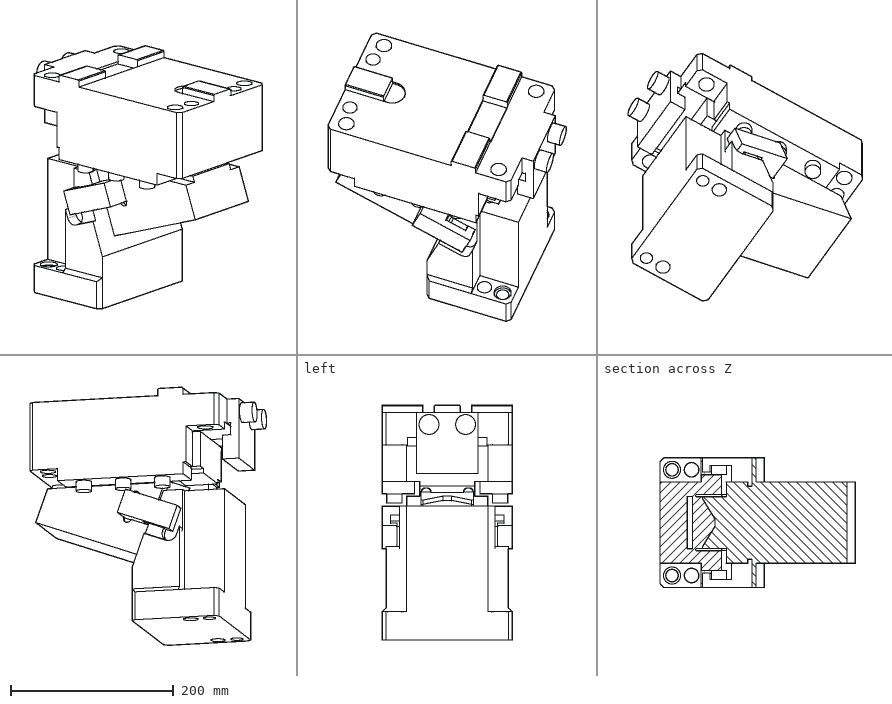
import cadquery as cq
import math


width = 160.0
half_width = width / 2
corner_chamfer = 5.0
key_proud = 9.0
total_height = 289.0
screw_line_y = 65.0
dowel_radius = 8.75

driver_length = 111.0
driver_height = 165.0
foot_height = 35.0
column_length = 50.8
column_half_width = 50.0
cheek_half_width = 75.0
cheek_bevel = half_width - cheek_half_width
slope_angle = 20.0
slope_foot_z = 67.0
bolt_x = 15.0
bolt_radius = 7.5
counterbore_radius = 10.5
counterbore_depth = 4.0
foot_dowel_x = 39.0

slope_sin = math.sin(math.radians(slope_angle))
slope_cos = math.cos(math.radians(slope_angle))

slide_gap = 5.0
guide_half_width = 32.0
guide_seat_depth = 3.0
guide_tip_u = -22.0
guide_bottom_v = 20.0
guide_top_v = 120.0
ridge_top_v = guide_top_v - 5.5
ridge_back_u = -40.0
groove_half_width = 30.0
groove_flat_half_width = 5.0
groove_angle = 30.0
groove_u = guide_tip_u + (groove_half_width - groove_flat_half_width) * math.tan(math.radians(groove_angle))
guide_relief_radius = 6.0
guide_clearance = 2.4
guide_clearance_u = -30.0

hook_start_u = -30.0
hook_end_u = 40.0
hook_bottom_v = 59.0
hook_top_v = 89.5
hook_lip_half_width = 62.0
hook_web_half_width = 70.0
hook_heel_u = slide_gap + guide_seat_depth
hook_seat_depth = 5.0
hook_relief_radius = 5.0

slot_half_width = 59.0
slot_radius = 10.0
slot_start_u = hook_start_u - slot_radius
slot_bottom_v = 45.0
rib_start_u = slot_start_u + 2 * slot_radius
rib_top_v = 84.5

slide_half_width = 50.0
slide_end_u = 145.0
slide_shoulder_z = 177.0
neck_half_width = 34.0
neck_end_z = 184.3
t_bar_start_x = 30.8
t_bar_web_z = 189.5
t_bar_top_z = 238.6

holder_length = 241.0
holder_top_z = total_height - key_proud
holder_bottom_z = 195.0
holder_nose_length = 41.0
holder_nose_z = 240.0
channel_clearance_half_width = 49.0
channel_clearance_z = 249.0
rail_start_x = 44.5
rail_end_x = 204.5
rail_bottom_z = 180.0
rail_inner_y = 40.0
rail_screw_xs = (75.0, 125.0, 175.0)
rail_screw_radius = 9.6
rail_screw_head = 11.6
holder_hole_radius = 9.5
holder_hole_xs = (20.4, 220.6)
holder_dowel_x = 225.5
holder_dowel_y = 40.0

key_width = 32.0
key_chamfer = 1.2
key_seat_depth = 3.0
front_key_x = 45.0
front_key_inner_y = 30.0
rear_key_length = 50.5
rear_seat_center_x = 185.0

stop_thickness = 15.0
stop_half_width = 38.0
stop_bottom_z = 205.0
stop_lip_z = 235.0
stop_gap_z = 250.0
stop_gap_depth = 4.5
stop_lip_x = 6.0
stop_screw_radius = 12.2
stop_screw_head = 16.0
stop_screw_y = 22.5
stop_screw_z = 265.2


def box(x, y, z):
    """Box from (low, high) pairs along each axis."""
    size = [high - low for low, high in (x, y, z)]
    return cq.Workplane("XY").box(*size, centered=False).translate((x[0], y[0], z[0]))


def slope_plane(y):
    """Sketch plane in the slope frame at the given Y; it extrudes toward -Y."""
    return cq.Workplane(cq.Plane(
        origin=(driver_length, y, slope_foot_z),
        xDir=(slope_cos, 0, slope_sin),
        normal=(0, -1, 0),
    ))


def slope_box(u, v, y):
    """Box from (low, high) pairs in the slope frame."""
    sketch = slope_plane(y[1]).center((u[0] + u[1]) / 2, (v[0] + v[1]) / 2)
    return sketch.rect(u[1] - u[0], v[1] - v[0]).extrude(y[1] - y[0])


def guide_profile(v):
    """Sketch plane across the slope: local x is u and local y is Y."""
    return cq.Workplane(cq.Plane(
        origin=(driver_length - v * slope_sin, 0, slope_foot_z + v * slope_cos),
        xDir=(slope_cos, 0, slope_sin),
        normal=(-slope_sin, 0, slope_cos),
    ))


def upright_cylinder(x, y, z, radius):
    return cq.Workplane("XY", origin=(x, y, z[0])).circle(radius).extrude(z[1] - z[0])


def corner_wedge(x, y, toward_x, toward_y, z):
    """Prism that chamfers the vertical corner at (x, y)."""
    points = [(x, y), (x + toward_x * corner_chamfer, y), (x, y + toward_y * corner_chamfer)]
    return cq.Workplane("XY", origin=(0, 0, z[0])).polyline(points).close().extrude(z[1] - z[0])


def chamfer_corners(body, length, z):
    """Chamfer the four vertical corners of a full-width block."""
    for side in (-1, 1):
        body = body.cut(corner_wedge(0, side * half_width, 1, -side, z))
        body = body.cut(corner_wedge(length, side * half_width, -1, -side, z))
    return body


def both_sides(shape):
    """The shape together with its mirror image in Y."""
    return shape.union(shape.mirror("XZ"))


def guide_block():
    """V-grooved guide block of the slide, from its tips to its seat in the slide."""
    seat_u = slide_gap + guide_seat_depth
    points = [
        (seat_u, -guide_half_width),
        (guide_tip_u, -guide_half_width),
        (guide_tip_u, -groove_half_width),
        (groove_u, -groove_flat_half_width),
        (groove_u, groove_flat_half_width),
        (guide_tip_u, groove_half_width),
        (guide_tip_u, guide_half_width),
        (seat_u, guide_half_width),
    ]
    return guide_profile(guide_bottom_v).polyline(points).close().extrude(guide_top_v - guide_bottom_v)


def driver_blank():
    foot = box((0, driver_length), (-half_width, half_width), (0, foot_height))
    column = box((0, column_length), (-column_half_width, column_half_width), (0, driver_height))
    cheek_outline = [
        (half_width, foot_height),
        (cheek_half_width, foot_height + cheek_bevel),
        (cheek_half_width, driver_height),
        (-cheek_half_width, driver_height),
        (-cheek_half_width, foot_height + cheek_bevel),
        (-half_width, foot_height),
    ]
    cheek = cq.Workplane("YZ", origin=(column_length, 0, 0)).polyline(cheek_outline).close()
    body = foot.union(column).union(cheek.extrude(driver_length - column_length))
    body = chamfer_corners(body, driver_length, (0, foot_height + cheek_bevel))
    return body.cut(slope_box((0, driver_length), (0, driver_height), (-half_width, half_width)))


def driver_ridge():
    """Sloping top of the V ridge where it stands above the flat top of the driver."""
    ridge = slope_box(
        (ridge_back_u, groove_u), (guide_bottom_v, ridge_top_v), (-guide_half_width, guide_half_width)
    )
    above_driver = box(
        (0, driver_length), (-guide_half_width, guide_half_width), (driver_height, holder_bottom_z)
    )
    return ridge.intersect(above_driver)


def ridge_recess():
    """Recess in the flat top of the driver, down to the sloping top of the ridge."""
    return slope_box(
        (ridge_back_u, groove_u), (ridge_top_v, driver_height), (-guide_half_width, guide_half_width)
    )


def guide_side_clearance():
    """Round-ended gap along the +Y side of the guide block, open at the driving face."""
    near_y = guide_half_width
    far_y = guide_half_width + guide_clearance
    end_radius = guide_clearance / 2
    straight_u = guide_clearance_u + end_radius
    gap = guide_profile(guide_bottom_v).moveTo(0, near_y).lineTo(straight_u, near_y)
    gap = gap.threePointArc((guide_clearance_u, near_y + end_radius), (straight_u, far_y))
    return gap.lineTo(0, far_y).close().extrude(driver_height)


def driver_slot():
    """Room for the hook plate on the +Y side: a deep slot, then a rib the hook grips."""
    slot_y = (slot_half_width, half_width)
    rib_y = (hook_web_half_width, half_width)
    slot_center_v = slot_bottom_v + slot_radius
    slot = slope_box((slot_start_u, rib_start_u), (slot_center_v, driver_height), slot_y)
    slot_end = slope_plane(half_width).center(hook_start_u, slot_center_v)
    slot = slot.union(slot_end.circle(slot_radius).extrude(half_width - slot_half_width))
    slot = slot.union(slope_box((hook_start_u, 0), (slot_bottom_v, driver_height), rib_y))
    return slot.union(slope_box((hook_start_u, 0), (rib_top_v, driver_height), slot_y))


def foot_holes():
    bolt = upright_cylinder(bolt_x, screw_line_y, (0, foot_height), bolt_radius)
    counterbore = upright_cylinder(
        bolt_x, screw_line_y, (foot_height - counterbore_depth, foot_height), counterbore_radius
    )
    dowel = upright_cylinder(foot_dowel_x, screw_line_y, (0, foot_height), dowel_radius)
    return bolt.union(counterbore).union(dowel)


def make_driver():
    body = driver_blank().union(driver_ridge())
    body = body.cut(ridge_recess()).cut(guide_block())
    body = body.cut(both_sides(guide_side_clearance()))
    body = body.cut(both_sides(driver_slot()))
    return body.cut(both_sides(foot_holes()))


def slide_wedge(half, top_z, end_x):
    """Slanted block of the slide, cut level at top_z and square at end_x."""
    slanted = slope_box((slide_gap, slide_end_u), (guide_bottom_v, driver_height), (-half, half))
    return slanted.intersect(box((0, end_x), (-half, half), (0, top_z)))


def t_bar():
    """T bar that runs in the holder: a web between the rails and a head above them."""
    bar_x = (t_bar_start_x, rail_end_x)
    web = box(bar_x, (-neck_half_width, neck_half_width), (t_bar_web_z, holder_bottom_z))
    head = box(bar_x, (-slide_half_width, slide_half_width), (holder_bottom_z, t_bar_top_z))
    return web.union(head)


def guide_reliefs():
    """Round corner reliefs at the top of the guide block's seat."""
    relief_y = guide_half_width - guide_relief_radius
    face = cq.Workplane(cq.Plane(
        origin=(driver_length + slide_gap * slope_cos, 0, slope_foot_z + slide_gap * slope_sin),
        xDir=(0, 1, 0),
        normal=(slope_cos, 0, slope_sin),
    ))
    centers = [(-relief_y, guide_top_v), (relief_y, guide_top_v)]
    return face.pushPoints(centers).circle(guide_relief_radius).extrude(guide_seat_depth)


def hook_reliefs():
    """Round corner reliefs at the far end of the +Y hook plate's seat."""
    relief_u = hook_end_u - hook_relief_radius
    centers = [(relief_u, hook_bottom_v), (relief_u, hook_top_v)]
    face = slope_plane(slide_half_width).pushPoints(centers)
    return face.circle(hook_relief_radius).extrude(hook_seat_depth)


def hook_plate():
    """Plate on the +Y side that reaches round the driver's rib."""
    v = (hook_bottom_v, hook_top_v)
    web = slope_box((hook_start_u, hook_end_u), v, (hook_web_half_width, half_width))
    lip = slope_box((hook_start_u, rib_start_u), v, (hook_lip_half_width, half_width))
    heel = slope_box((hook_heel_u, hook_end_u), v, (slide_half_width - hook_seat_depth, half_width))
    return web.union(lip).union(heel)


def make_slide():
    body = slide_wedge(slide_half_width, slide_shoulder_z, holder_length)
    body = body.union(slide_wedge(neck_half_width, neck_end_z, holder_length))
    body = body.union(slide_wedge(neck_half_width, holder_bottom_z, rail_end_x))
    body = body.union(t_bar())
    body = body.cut(guide_reliefs()).union(guide_block())
    return body.cut(both_sides(hook_reliefs())).union(both_sides(hook_plate()))


def holder_blank():
    block = box((0, holder_length), (-half_width, half_width), (holder_bottom_z, holder_top_z))
    block = chamfer_corners(block, holder_length, (holder_bottom_z, holder_top_z))
    under_nose = box((0, holder_nose_length), (-half_width, half_width), (holder_bottom_z, holder_nose_z))
    channel = box((0, rail_end_x), (-slide_half_width, slide_half_width), (holder_bottom_z, t_bar_top_z))
    clearance = box(
        (0, rail_end_x),
        (-channel_clearance_half_width, channel_clearance_half_width),
        (t_bar_top_z, channel_clearance_z),
    )
    return block.cut(under_nose).cut(channel).cut(clearance)


def rail():
    """Rail on the +Y side that carries the T bar, with its screw heads."""
    body = box((rail_start_x, rail_end_x), (rail_inner_y, half_width), (rail_bottom_z, holder_bottom_z))
    for x in rail_screw_xs:
        head_z = (rail_bottom_z - rail_screw_head, rail_bottom_z)
        body = body.union(upright_cylinder(x, screw_line_y, head_z, rail_screw_radius))
    return body


def holder_holes():
    z = (holder_bottom_z, holder_top_z)
    holes = upright_cylinder(holder_dowel_x, holder_dowel_y, z, dowel_radius)
    for x in holder_hole_xs:
        holes = holes.union(upright_cylinder(x, screw_line_y, z, holder_hole_radius))
    return holes


def key_seats():
    seat_z = (holder_top_z - key_seat_depth, holder_top_z)
    front = box((front_key_x, front_key_x + key_width), (-half_width, half_width), seat_z)
    rear = box((rear_seat_center_x, holder_length), (-key_width / 2, key_width / 2), seat_z)
    rear_end = upright_cylinder(rear_seat_center_x, 0, seat_z, key_width / 2)
    return front.union(rear).union(rear_end)


def keys():
    """Two front keys across the holder and one rear key along it."""
    key_z = (holder_top_z - key_seat_depth, total_height)
    front = box((front_key_x, front_key_x + key_width), (front_key_inner_y, half_width), key_z)
    front = front.faces(">Z").edges("|Y").chamfer(key_chamfer)
    rear_start_x = holder_length - rear_key_length
    rear = box((rear_start_x, holder_length), (-key_width / 2, key_width / 2), key_z)
    rear = rear.faces(">Z").edges("|X").chamfer(key_chamfer)
    return both_sides(front).union(rear)


def stop_bracket():
    outline = [
        (-stop_thickness, stop_bottom_z),
        (stop_lip_x, stop_bottom_z),
        (stop_lip_x, stop_lip_z),
        (-stop_gap_depth, stop_lip_z),
        (-stop_gap_depth, stop_gap_z),
        (0, stop_gap_z),
        (0, holder_top_z),
        (-stop_thickness, holder_top_z),
    ]
    bracket = cq.Workplane("XZ", origin=(0, stop_half_width, 0)).polyline(outline).close()
    bracket = bracket.extrude(2 * stop_half_width)
    screw_face = cq.Workplane("YZ", origin=(-stop_thickness, 0, 0))
    screw_centers = [(-stop_screw_y, stop_screw_z), (stop_screw_y, stop_screw_z)]
    heads = screw_face.pushPoints(screw_centers).circle(stop_screw_radius).extrude(-stop_screw_head)
    return bracket.union(heads)


def make_holder():
    body = holder_blank().union(both_sides(rail()))
    body = body.cut(both_sides(holder_holes()))
    body = body.cut(key_seats()).union(keys())
    return body.union(stop_bracket())


driver = make_driver()
slide = make_slide()
holder = make_holder()

result = cq.Compound.makeCompound([body.solids().val() for body in (driver, slide, holder)])